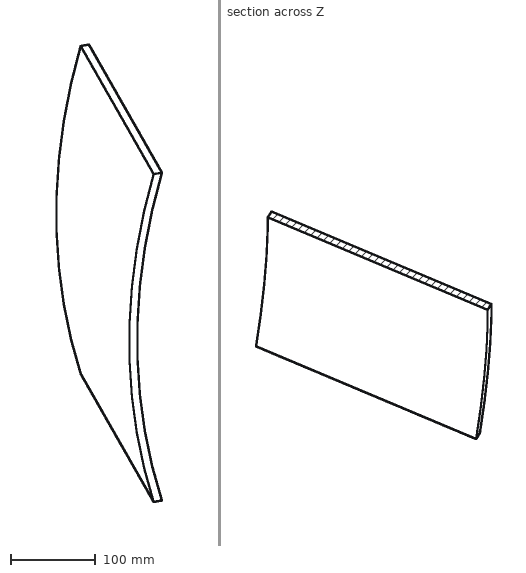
import math

import cadquery as cq

width = 291.0
height = 460.0
depth = 40.51
thickness = 10.0

half_height = height / 2
inner_rise = depth - thickness
inner_radius = (half_height**2 + inner_rise**2) / (2 * inner_rise)
outer_radius = inner_radius + thickness

axis_y = outer_radius


def end_y(radius):
    """Y where a face of this radius meets the top and bottom ends."""
    return axis_y - math.sqrt(radius**2 - half_height**2)


def curved_plate():
    """Arc-shaped YZ profile extruded across the full width, centred on X = 0."""
    outer_end = end_y(outer_radius)
    inner_end = end_y(inner_radius)
    return (
        cq.Workplane("YZ")
        .moveTo(outer_end, -half_height)
        .threePointArc((0, 0), (outer_end, half_height))
        .lineTo(inner_end, half_height)
        .threePointArc((thickness, 0), (inner_end, -half_height))
        .close()
        .extrude(width / 2, both=True)
    )


result = curved_plate()